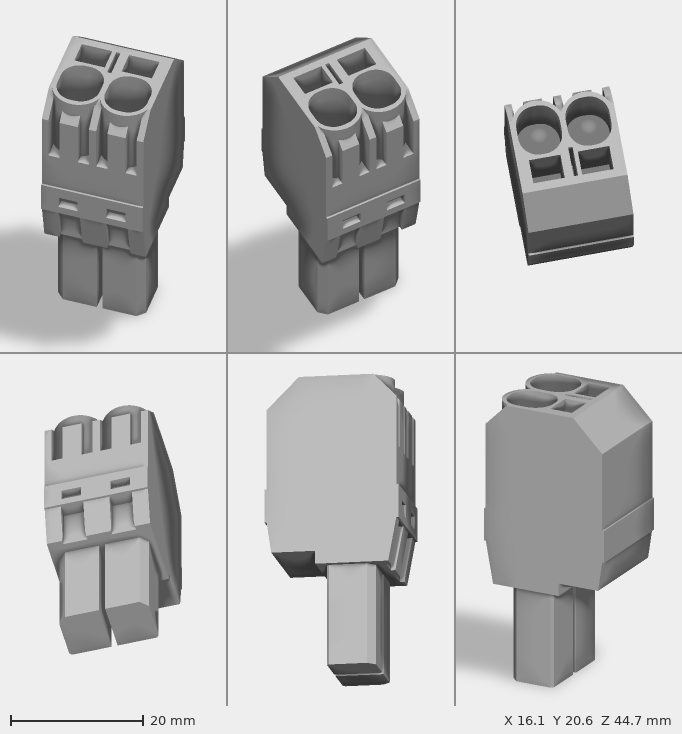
import cadquery as cq


total_height = 44.7
body_width = 16.15
body_depth = 19.95
body_bottom = 15.5
pole_pitch = 7.6
pole_centers = (-pole_pitch / 2, pole_pitch / 2)

back_chamfer = 4.95
front_chamfer = 3.55
foot_taper_front = 1.25
foot_taper_back = 0.7
foot_step_height = 2.0
foot_step_y = 2.5

band_depth = 20.6
band_bottom = 22.25
band_top = 27.4

funnel_width = 6.7
funnel_length = 7.6
funnel_corner_radius = 3.0
funnel_y = -4.3
collar_radius = 4.1
collar_y = -4.83
funnel_floor = 33.7

rib_width = 2.9
slot_outer_spread = 6.45

opening_back_y = 3.75
release_pitch = 7.5
release_width = 4.83
release_length = 3.65
slit_width = 0.65
slit_length = 4.5
slit_x = -0.35

window_width = 3.05
window_bottom = 23.55
window_height = 1.95
window_depth = 1.35

recess_width = 3.55
recess_flare = 0.15
recess_flare_height = 1.05
recess_back_y = -8.05

prong_gap = 0.95
prong_width = 6.53
prong_back_y = 0.95
prong_depth = 7.38
prong_front_chamfer = 1.15
prong_back_chamfer = 0.35

body_back_y = body_depth / 2
body_front_y = -body_depth / 2
band_front_y = -band_depth / 2


def box(x_min, x_max, y_min, y_max, z_min, z_max):
    size = (x_max - x_min, y_max - y_min, z_max - z_min)
    return cq.Workplane("XY").box(*size, centered=False).translate((x_min, y_min, z_min))


def make_housing():
    profile = [
        (body_front_y + foot_taper_front, body_bottom),
        (body_front_y, band_bottom),
        (band_front_y, band_bottom),
        (band_front_y, band_top),
        (body_front_y, band_top),
        (body_front_y, total_height - front_chamfer),
        (body_front_y + front_chamfer, total_height),
        (body_back_y - back_chamfer, total_height),
        (body_back_y, total_height - back_chamfer),
        (body_back_y, band_top),
        (-band_front_y, band_top),
        (-band_front_y, band_bottom),
        (body_back_y, band_bottom),
        (body_back_y - foot_taper_back, body_bottom + foot_step_height),
        (foot_step_y, body_bottom + foot_step_height),
        (foot_step_y, body_bottom),
    ]
    return cq.Workplane("YZ").polyline(profile).close().extrude(body_width / 2, both=True)


def make_collar(center_x):
    """Round wall in front of a funnel, standing proud of the front chamfer."""
    return (
        cq.Workplane("XY", origin=(center_x, collar_y, funnel_floor))
        .circle(collar_radius)
        .extrude(total_height - funnel_floor)
    )


def make_funnel(center_x):
    """Rounded rectangular wire entry, open at the top."""
    return (
        cq.Workplane("XY", origin=(center_x, funnel_y, funnel_floor))
        .rect(funnel_width, funnel_length)
        .extrude(total_height - funnel_floor)
        .edges("|Z")
        .fillet(funnel_corner_radius)
    )


def make_front_slots(center_x):
    outer = slot_outer_spread / 2
    inner = rib_width / 2
    slots = cq.Workplane("XY")
    for near, far in ((-outer, -inner), (inner, outer)):
        slots = slots.union(
            box(center_x + near, center_x + far, body_front_y, funnel_y, funnel_floor, total_height)
        )
    return slots


def make_release_opening(center_x):
    half = release_width / 2
    front_y = opening_back_y - release_length
    return box(center_x - half, center_x + half, front_y, opening_back_y, funnel_floor, total_height)


def make_slit():
    half = slit_width / 2
    front_y = opening_back_y - slit_length
    return box(slit_x - half, slit_x + half, front_y, opening_back_y, funnel_floor, total_height)


def make_window(center_x):
    half = window_width / 2
    back_y = band_front_y + window_depth
    window_top = window_bottom + window_height
    return box(center_x - half, center_x + half, band_front_y, back_y, window_bottom, window_top)


def make_foot_recess(center_x):
    """Upright recess below the band, flaring slightly at its lower end."""
    half = recess_width / 2
    flare_top = body_bottom + recess_flare_height
    outline = [
        (-half - recess_flare, body_bottom),
        (-half, flare_top),
        (-half, band_bottom),
        (half, band_bottom),
        (half, flare_top),
        (half + recess_flare, body_bottom),
    ]
    return (
        cq.Workplane("XZ", origin=(center_x, recess_back_y, 0))
        .polyline(outline)
        .close()
        .extrude(recess_back_y - body_front_y)
    )


def make_left_prong():
    """Prong with its two outer edges chamfered, standing below the left pole."""
    inner_x = -prong_gap / 2
    outer_x = inner_x - prong_width
    front_y = prong_back_y - prong_depth
    outline = [
        (inner_x, front_y),
        (inner_x, prong_back_y),
        (outer_x + prong_back_chamfer, prong_back_y),
        (outer_x, prong_back_y - prong_back_chamfer),
        (outer_x, front_y + prong_front_chamfer),
        (outer_x + prong_front_chamfer, front_y),
    ]
    return cq.Workplane("XY").polyline(outline).close().extrude(body_bottom)


result = make_housing()

for pole_x in pole_centers:
    result = result.cut(make_front_slots(pole_x))

for pole_x in pole_centers:
    result = result.union(make_collar(pole_x))

for pole_x in pole_centers:
    result = result.cut(make_funnel(pole_x))
    result = result.cut(make_window(pole_x))
    result = result.cut(make_foot_recess(pole_x))

for release_x in (-release_pitch / 2, release_pitch / 2):
    result = result.cut(make_release_opening(release_x))

result = result.cut(make_slit())

left_prong = make_left_prong()
result = result.union(left_prong).union(left_prong.mirror("YZ"))